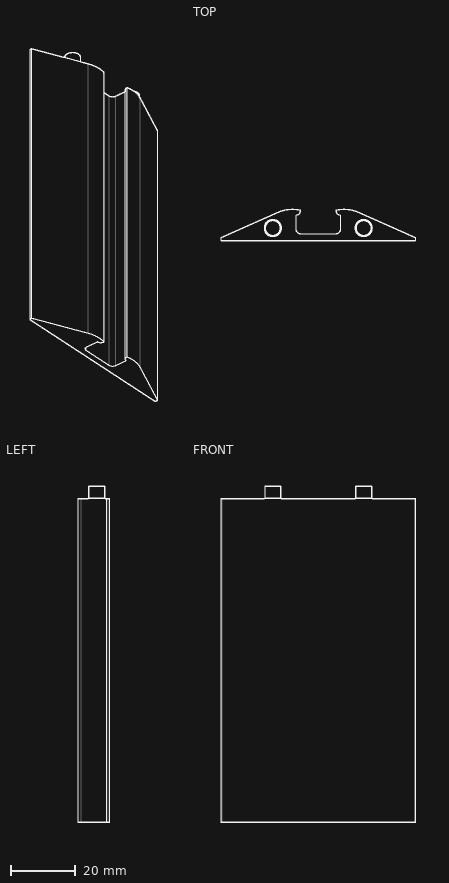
import cadquery as cq
import math

width = 60.2
depth = 9.8
total_height = 104.0
pin_protrusion = 4.0
body_height = total_height - pin_protrusion

flank_angle = math.radians(24)
crest_radius = 10.9
crest_x = 8.0
base_edge_radius = 0.4

channel_half_width = 6.9
channel_floor = 2.2
channel_corner_radius = 1.5
lip_half_gap = 5.5
lip_root_y = 7.9

pin_diameter = 5.0
pin_foot_diameter = 5.3
pin_chamfer = 0.2
pin_spacing = 28.1
pin_y = 4.0


def crest_point(angle):
    """Point on the right crest arc, at an angle measured outward from its peak."""
    return (
        crest_x + crest_radius * math.sin(angle),
        depth - crest_radius * (1 - math.cos(angle)),
    )


def make_half_body():
    """Right half of the extruded rail, from the mid plane outward."""
    half_width = width / 2
    flank_start = crest_point(flank_angle)
    edge_y = flank_start[1] - (half_width - flank_start[0]) * math.tan(flank_angle)
    lip_angle = math.asin((lip_half_gap - crest_x) / crest_radius)
    lip_radius = channel_half_width - lip_half_gap
    lip_offset = lip_radius * (1 - math.sqrt(0.5))
    corner_offset = channel_corner_radius * (1 - math.sqrt(0.5))
    return (
        cq.Workplane("XY")
        .moveTo(0, 0)
        .lineTo(half_width - base_edge_radius, 0)
        .radiusArc((half_width, base_edge_radius), -base_edge_radius)
        .lineTo(half_width, edge_y)
        .lineTo(*flank_start)
        .threePointArc(crest_point(0), crest_point(lip_angle))
        .lineTo(lip_half_gap, lip_root_y + lip_radius)
        .threePointArc(
            (lip_half_gap + lip_offset, lip_root_y + lip_offset),
            (channel_half_width, lip_root_y),
        )
        .lineTo(channel_half_width, channel_floor + channel_corner_radius)
        .threePointArc(
            (channel_half_width - corner_offset, channel_floor + corner_offset),
            (channel_half_width - channel_corner_radius, channel_floor),
        )
        .lineTo(0, channel_floor)
        .close()
        .extrude(body_height)
    )


def make_pin(x):
    """Turned pin with a chamfered tip and a 45 degree flare at its foot."""
    radius = pin_diameter / 2
    foot_radius = pin_foot_diameter / 2
    foot_height = foot_radius - radius
    return (
        cq.Workplane("XZ")
        .moveTo(0, 0)
        .lineTo(foot_radius, 0)
        .lineTo(radius, foot_height)
        .lineTo(radius, pin_protrusion - pin_chamfer)
        .lineTo(radius - pin_chamfer, pin_protrusion)
        .lineTo(0, pin_protrusion)
        .close()
        .revolve(360, (0, 0), (0, 1))
        .translate((x, pin_y, body_height))
    )


half_body = make_half_body()
result = half_body.union(half_body.mirror("YZ")).clean()
for side in (-1, 1):
    result = result.union(make_pin(side * pin_spacing / 2))